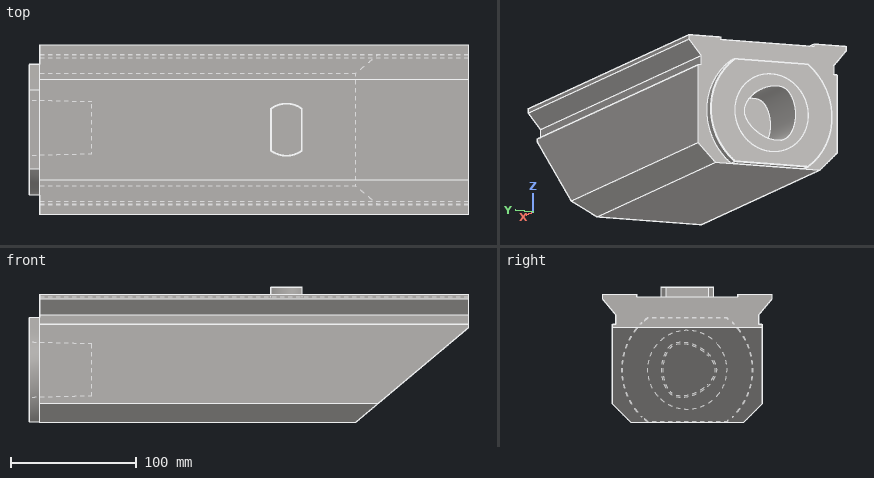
import cadquery as cq
import math

total_length = 350.0
total_height = 108.0

axis_height = 42.0
body_width = 119.5
body_chamfer = 15.0
neck_width = 114.0
ledge_chamfer = 0.5
neck_bottom = 78.4
neck_top = 85.7
rail_width = 135.0
rail_lip_bottom = 98.3
rail_top = 102.0
channel_width = 80.0
channel_depth = 2.0

relief_angle = 40.0
end_face_bottom = 75.5

flange_projection = 8.5
flange_diameter = 104.5
flange_height = 83.5
flange_chamfer = 0.5
ring_diameter = 63.0
ring_step = 0.2

socket_radius = 22.0
socket_eccentricity = 1.5
socket_depth = 50.0
socket_taper = 1.0 / 20.0
socket_curve_points = 36

key_centre = 205.0
key_diameter = 42.0
key_width = 25.0
key_chamfer = 0.5

body_start = flange_projection
underside = -axis_height


def make_body():
    """Extrude the dovetail cross-section along X."""
    half_profile = [
        (body_width / 2 - body_chamfer, 0),
        (body_width / 2, body_chamfer),
        (body_width / 2, neck_bottom - ledge_chamfer),
        (body_width / 2 - ledge_chamfer, neck_bottom),
        (neck_width / 2, neck_bottom),
        (neck_width / 2, neck_top),
        (rail_width / 2, rail_lip_bottom),
        (rail_width / 2, rail_top),
        (channel_width / 2, rail_top),
        (channel_width / 2, rail_top - channel_depth),
    ]
    mirrored_half = [(-y, z) for y, z in reversed(half_profile)]
    return (
        cq.Workplane("YZ", origin=(body_start, 0, underside))
        .polyline(half_profile + mirrored_half)
        .close()
        .extrude(total_length - body_start)
    )


def make_end_relief():
    """Wedge that slopes the underside up to the far end face."""
    slope_length = end_face_bottom / math.tan(math.radians(relief_angle))
    wedge = [
        (total_length - slope_length, underside),
        (total_length, underside),
        (total_length, underside + end_face_bottom),
    ]
    return cq.Workplane("XZ").polyline(wedge).close().extrude(rail_width / 2, both=True)


def make_flange():
    """Round plate flattened above and below, carrying the raised ring face."""
    plate_thickness = flange_projection - ring_step
    plate = cq.Workplane("YZ", origin=(ring_step, 0, 0)).circle(flange_diameter / 2).extrude(plate_thickness)
    flats = cq.Workplane("YZ").rect(flange_diameter, flange_height).extrude(flange_projection)
    ring = cq.Workplane("YZ").circle(ring_diameter / 2).extrude(flange_projection)
    return plate.intersect(flats).faces("<X").chamfer(flange_chamfer).union(ring)


def polygon_wire(x, radius):
    """Closed three-lobed curve of constant width, with one lobe toward +Y."""
    points = []
    for step in range(socket_curve_points):
        angle = 2 * math.pi * step / socket_curve_points
        y = (
            radius * math.cos(angle)
            - 2 * socket_eccentricity * math.cos(2 * angle)
            + socket_eccentricity * math.cos(4 * angle)
        )
        z = (
            radius * math.sin(angle)
            + 2 * socket_eccentricity * math.sin(2 * angle)
            + socket_eccentricity * math.sin(4 * angle)
        )
        points.append(cq.Vector(x, -y, z))
    return cq.Wire.assembleEdges([cq.Edge.makeSpline(points, periodic=True)])


def make_socket():
    """Blind socket that narrows toward its floor."""
    floor_radius = socket_radius - socket_depth * socket_taper / 2
    mouth = polygon_wire(0, socket_radius)
    floor = polygon_wire(socket_depth, floor_radius)
    return cq.Workplane(obj=cq.Solid.makeLoft([mouth, floor], True))


def make_key():
    """Round-ended key standing on the channel floor."""
    channel_floor = rail_top - channel_depth
    key_height = total_height - channel_floor
    base = cq.Workplane("XY", origin=(key_centre, 0, underside + channel_floor))
    disc = base.circle(key_diameter / 2).extrude(key_height)
    sides = base.rect(key_width, key_diameter).extrude(key_height)
    return disc.intersect(sides).faces(">Z").chamfer(key_chamfer)


result = make_body().cut(make_end_relief()).union(make_flange()).union(make_key()).cut(make_socket())